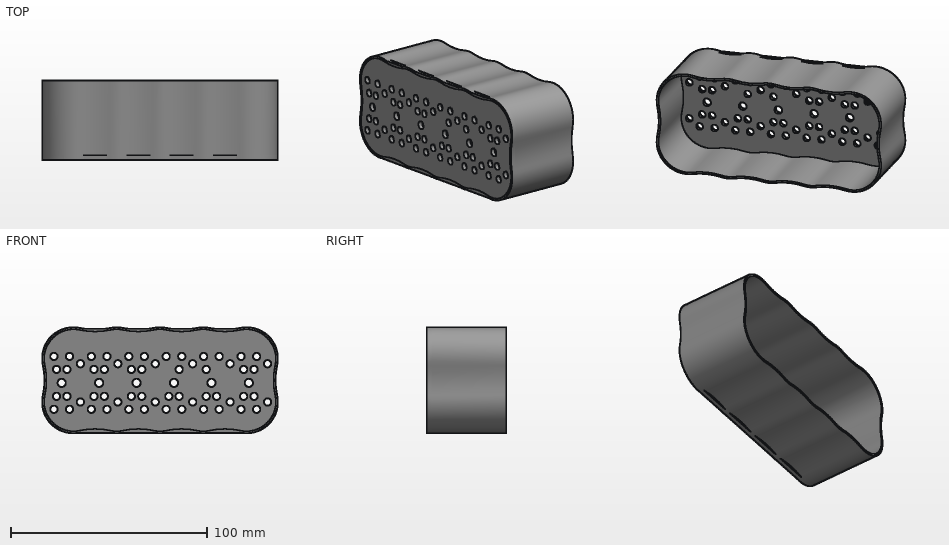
import cadquery as cq
import math

LENGTH = 120.1
HEIGHT = 54.0
DEPTH = 40.6
FRONT_Y = -DEPTH / 2

LONG_HOLLOWS = 4
END_HOLLOWS = 1
HUMP_PITCH = (LENGTH - HEIGHT) / (LONG_HOLLOWS - END_HOLLOWS)
HUMP_RADIUS = (LENGTH - LONG_HOLLOWS * HUMP_PITCH) / 2
HOLLOW_RADIUS = 36.0
CORNER_X = LONG_HOLLOWS * HUMP_PITCH / 2
CORNER_Z = END_HOLLOWS * HUMP_PITCH / 2
WALL = 1.1

LIP_DEPTH = 2.5
LIP_TOP = 26.3
LIP_BOTTOM = -26.9

PANEL_DEPTH = LIP_DEPTH

GROUP_COUNT = 6
PATTERN_LENGTH = 95.3
GROUP_PITCH = PATTERN_LENGTH / (GROUP_COUNT - 1)
PATTERN_X = -2.4
PATTERN_Z = -1.3
LARGE_HOLE_DIAMETER = 4.1
SMALL_HOLE_DIAMETER = 3.6
OUTER_PAIR = (4.0, 13.5)
INNER_PAIR = (2.6, 6.8)
BETWEEN_GROUPS = (GROUP_PITCH / 2, 9.7)
MISSING_HOLES = [(3, -1), (4, 1)]


def front_face():
    """Workplane on the front face, with local x along X and local y along Z."""
    return cq.Workplane("XZ", origin=(0, FRONT_Y, 0))


def hump_centres():
    """Centres of the humps in order round the outline, from the bottom left corner."""
    bottom = [(-CORNER_X + i * HUMP_PITCH, -CORNER_Z) for i in range(LONG_HOLLOWS)]
    right = [(CORNER_X, -CORNER_Z + i * HUMP_PITCH) for i in range(END_HOLLOWS)]
    half_way_round = bottom + right
    return half_way_round + [(-x, -z) for x, z in half_way_round]


def wavy_prism(inset, depth):
    """Prism behind the front face, with the wavy outline moved inwards by inset."""
    hump = HUMP_RADIUS - inset
    hollow = HOLLOW_RADIUS + inset
    tilt = math.asin(HUMP_PITCH / 2 / (hump + hollow))
    tangent_run = hump * math.sin(tilt)
    tangent_rise = hump * math.cos(tilt)
    hollow_rise = (hump + hollow) * math.cos(tilt) - hollow

    centres = hump_centres()
    count = len(centres)

    def heading(i):
        """Unit vector from hump i to the next one."""
        (x, z), (next_x, next_z) = centres[i % count], centres[(i + 1) % count]
        return (next_x - x) / HUMP_PITCH, (next_z - z) / HUMP_PITCH

    def outline_point(i, run, rise):
        """Point from hump i, run towards the next hump and rise outwards."""
        x, z = centres[i % count]
        dx, dz = heading(i)
        return x + dx * run + dz * rise, z + dz * run - dx * rise

    def hump_middle(i):
        """Point on hump i midway between its two neighbouring hollows."""
        x, z = centres[i]
        dx, dz = heading(i)
        last_dx, last_dz = heading(i - 1)
        scale = hump / math.hypot(dx + last_dx, dz + last_dz)
        return x + (dz + last_dz) * scale, z - (dx + last_dx) * scale

    hollow_end = HUMP_PITCH - tangent_run
    outline = front_face().moveTo(*outline_point(-1, hollow_end, tangent_rise))
    for i in range(count):
        hump_end_point = outline_point(i, tangent_run, tangent_rise)
        hollow_low_point = outline_point(i, HUMP_PITCH / 2, hollow_rise)
        hollow_end_point = outline_point(i, hollow_end, tangent_rise)
        outline = outline.threePointArc(hump_middle(i), hump_end_point)
        outline = outline.threePointArc(hollow_low_point, hollow_end_point)
    return outline.close().extrude(-depth)


def make_lip():
    """Wavy slab with its top and bottom hollows filled and its humps cut level."""
    lip_height = LIP_TOP - LIP_BOTTOM
    lip_middle = (LIP_TOP + LIP_BOTTOM) / 2
    filler = front_face().center(0, lip_middle).rect(2 * CORNER_X, lip_height).extrude(-LIP_DEPTH)
    limits = front_face().center(0, lip_middle).rect(LENGTH, lip_height).extrude(-LIP_DEPTH)
    return wavy_prism(0, LIP_DEPTH).intersect(limits).union(filler)


def make_housing():
    """Thin wavy tube with the lip round its front; the edges of the lip stay as face lines."""
    outside = wavy_prism(0, DEPTH).union(make_lip(), clean=False)
    return outside.cut(wavy_prism(WALL, DEPTH), clean=False).solids()


def mirrored_pair(group_x, offset, up):
    """Two hole centres on either side of a group, above (up = 1) or below (up = -1)."""
    return [(group_x + side * offset[0], PATTERN_Z + up * offset[1]) for side in (-1, 1)]


def make_panel():
    """Plate that fills the front opening of the housing, with its hole pattern."""
    large_holes = []
    small_holes = []
    for group in range(GROUP_COUNT):
        group_x = PATTERN_X - PATTERN_LENGTH / 2 + group * GROUP_PITCH
        large_holes.append((group_x, PATTERN_Z))
        for up in (-1, 1):
            small_holes += mirrored_pair(group_x, OUTER_PAIR, up)
            small_holes.append((group_x + BETWEEN_GROUPS[0], PATTERN_Z + up * BETWEEN_GROUPS[1]))
            for side, centre in zip((-1, 1), mirrored_pair(group_x, INNER_PAIR, up)):
                if up == -1 or (group, side) not in MISSING_HOLES:
                    small_holes.append(centre)
    large_cutters = front_face().pushPoints(large_holes).circle(LARGE_HOLE_DIAMETER / 2).extrude(-PANEL_DEPTH)
    small_cutters = front_face().pushPoints(small_holes).circle(SMALL_HOLE_DIAMETER / 2).extrude(-PANEL_DEPTH)
    return wavy_prism(WALL, PANEL_DEPTH).cut(large_cutters).cut(small_cutters).solids()


housing = make_housing()
panel = make_panel()
result = cq.Compound.makeCompound([housing.val(), panel.val()])